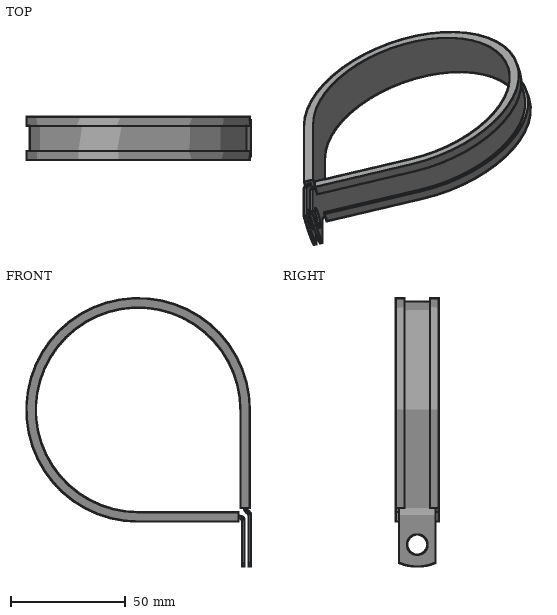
import cadquery as cq
import math

clamp_radius = 44.45
cushion_width = 18.92
inner_cushion = 1.6
outer_lip = 1.4
groove_width = 10.9
vertical_leg = 42.75
horizontal_leg = 43.75

strap_thickness = 1.2
strap_width = 15.88

front_tab_x = 45.7
rear_tab_outer_x = 49.16
tab_bottom_z = -68.25
tab_end_sagitta = 1.7
hole_diameter = 8.75
hole_to_tab_end = 9.65
bend_radius = 1.5
jog_angle = math.radians(45)
strap_embed = 2.0

strap_inner_radius = clamp_radius + inner_cushion
strap_mid_radius = strap_inner_radius + strap_thickness / 2
strap_outer_radius = strap_inner_radius + strap_thickness
cushion_radius = strap_outer_radius + outer_lip

rear_tab_x = rear_tab_outer_x - strap_thickness / 2
hole_z = tab_bottom_z + hole_to_tab_end
tab_tool_reach = rear_tab_outer_x + 1


def loop_band(inner_radius, outer_radius, width):
    """Three-quarter ring with a straight tangent leg at each end, centred on Y."""
    outer_mid = outer_radius * math.sqrt(0.5)
    inner_mid = inner_radius * math.sqrt(0.5)
    return (
        cq.Workplane("XZ", origin=(0, width / 2, 0))
        .moveTo(outer_radius, -vertical_leg)
        .lineTo(outer_radius, 0)
        .threePointArc((-outer_mid, outer_mid), (0, -outer_radius))
        .lineTo(horizontal_leg, -outer_radius)
        .lineTo(horizontal_leg, -inner_radius)
        .lineTo(0, -inner_radius)
        .threePointArc((-inner_mid, inner_mid), (inner_radius, 0))
        .lineTo(inner_radius, -vertical_leg)
        .close()
        .extrude(width)
    )


def front_strap_end():
    """Strap leaving the horizontal leg and bending down into the front tab."""
    start_x = horizontal_leg - strap_embed
    path = (
        cq.Workplane("XZ")
        .moveTo(start_x, -strap_mid_radius)
        .lineTo(front_tab_x - bend_radius, -strap_mid_radius)
        .tangentArcPoint((bend_radius, -bend_radius))
        .lineTo(front_tab_x, tab_bottom_z)
    )
    return (
        cq.Workplane("YZ", origin=(start_x, 0, -strap_mid_radius))
        .rect(strap_width, strap_thickness)
        .sweep(path)
    )


def rear_strap_end():
    """Strap leaving the vertical leg with a sloping jog outward into the rear tab."""
    start_z = -vertical_leg + strap_embed
    bend_step = (bend_radius * (1 - math.cos(jog_angle)), -bend_radius * math.sin(jog_angle))
    slope_run = rear_tab_x - strap_mid_radius - 2 * bend_step[0]
    slope_drop = slope_run / math.tan(jog_angle)
    path = (
        cq.Workplane("XZ")
        .moveTo(strap_mid_radius, start_z)
        .lineTo(strap_mid_radius, -vertical_leg)
        .tangentArcPoint(bend_step)
        .line(slope_run, -slope_drop)
        .tangentArcPoint(bend_step)
        .lineTo(rear_tab_x, tab_bottom_z)
    )
    return (
        cq.Workplane("XY", origin=(strap_mid_radius, 0, start_z))
        .rect(strap_thickness, strap_width)
        .sweep(path)
    )


def tab_trim():
    """Prism along X whose lower edge is the shallow arc of the tab ends."""
    half_width = strap_width / 2
    corner_z = tab_bottom_z + tab_end_sagitta
    return (
        cq.Workplane("YZ")
        .moveTo(-half_width, 0)
        .lineTo(-half_width, corner_z)
        .threePointArc((0, tab_bottom_z), (half_width, corner_z))
        .lineTo(half_width, 0)
        .close()
        .extrude(tab_tool_reach)
    )


def mounting_hole():
    """Cylinder along X through both tabs."""
    return (
        cq.Workplane("YZ")
        .center(0, hole_z)
        .circle(hole_diameter / 2)
        .extrude(tab_tool_reach)
    )


cushion = loop_band(clamp_radius, cushion_radius, cushion_width)
groove = loop_band(strap_outer_radius, cushion_radius, groove_width)
strap_ends = front_strap_end().union(rear_strap_end())
strap_ends = strap_ends.intersect(tab_trim()).cut(mounting_hole())
result = cushion.cut(groove).union(strap_ends)